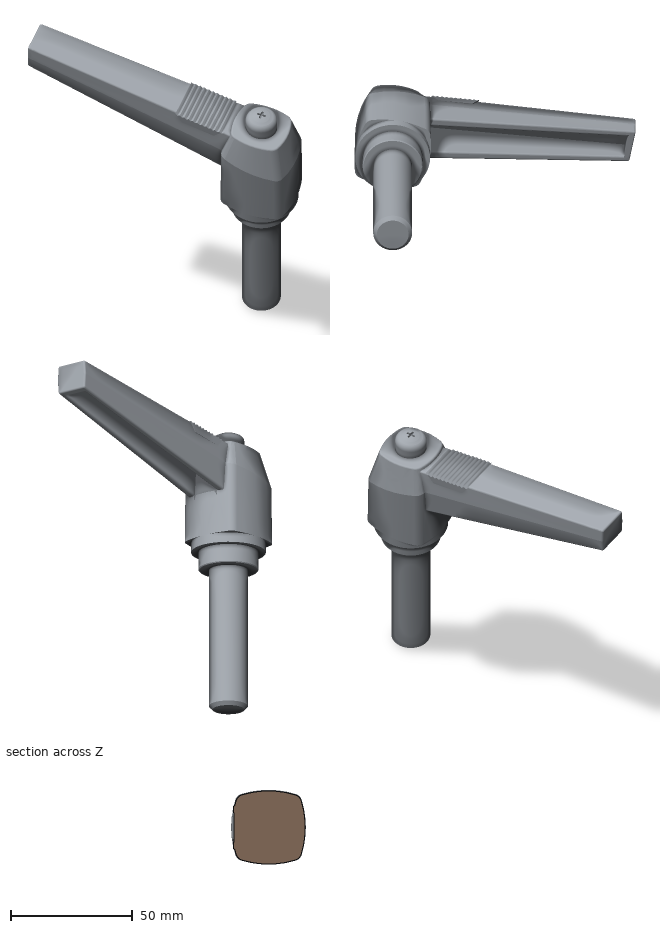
import cadquery as cq
import math


stud_diameter = 16.0
stud_chamfer = 1.5
collar_diameter = 24.7
collar_bottom = 59.8
collar_chamfer = 0.4

hub_bottom = 67.4
hub_rim_top = 71.4
hub_half_width = 15.35
hub_side_radius = 37.6
hub_corner_radius = 3.8
break_half_width = 15.0
break_height = 97.9
break_slope = -0.2
top_half_x = 11.5
top_half_y = 11.0
top_side_radius = 25.1
top_height = 110.9
top_slope = -0.07
top_fillet = 0.8

button_diameter = 13.0
button_side_top = 114.9
shoulder_diameter = 10.2
shoulder_height = 117.3
crown_diameter = 7.3
crown_base = 117.9
crown_top = 118.7
cross_length = 3.8
cross_width = 0.9
cross_depth = 1.3

tip_x = -100.32
root_x = -10.0
tip_top, root_top = 125.5, 110.2
tip_crease, root_crease = 119.7, 100.1
tip_bottom, root_bottom = 113.7, 88.4
tip_half, root_half = 7.0, 8.6
tip_crease_half, root_crease_half = 7.5, 10.0
root_bottom_half = 9.4
lever_fillet = 0.8

tip_wall = 2.5
roof_thickness = 2.1
channel_end_x = -14.3
channel_roof_half_tip, channel_roof_half_end = 4.4, 4.8
channel_mouth_half_tip, channel_mouth_half_end = 4.9, 6.3
channel_lip = 1.4
channel_lip_height = 2.1
channel_floor_tip, channel_floor_end = 111.5, 89.5

pad_half_width = 9.0
pad_start_x, pad_end_x = -34.3, -14.2
pad_base_start_x, pad_base_end_x = -31.6, -17.4
pad_height = 3.9
groove_count = 11
grooves_end_x = -13.2
groove_depth = 0.8


def lever_line(tip_value, root_value, x):
    """Value at x of a lever dimension that runs straight from tip to root."""
    return tip_value + (root_value - tip_value) * (x - tip_x) / (root_x - tip_x)


def lever_top(x):
    return lever_line(tip_top, root_top, x)


def hub_section(half_x, half_y, side_radius, height, slope):
    """Rounded-square wire with bulging sides, in a plane tilted along X."""
    side_offset = side_radius - half_x
    reach = side_radius - hub_corner_radius
    corner = (math.sqrt(2 * reach ** 2 - side_offset ** 2) - side_offset) / 2
    near = side_radius * corner / reach
    far = side_radius * (corner + side_offset) / reach - side_offset
    corner_mid = corner + hub_corner_radius * math.sqrt(0.5)
    quarter = [(half_x, 0), (far, near), (corner_mid, corner_mid), (near, far)]
    outline = []
    for turn in range(4):
        for x, y in quarter:
            for _ in range(turn):
                x, y = -y, x
            outline.append(cq.Vector(x, y * half_y / half_x, height + slope * x))
    edges = []
    for i in range(1, len(outline), 2):
        middle = outline[(i + 1) % len(outline)]
        end = outline[(i + 2) % len(outline)]
        edges.append(cq.Edge.makeThreePointArc(outline[i], middle, end))
    return cq.Wire.assembleEdges(edges)


def make_hub():
    base = hub_section(hub_half_width, hub_half_width, hub_side_radius, hub_rim_top, 0)
    shoulder = hub_section(
        break_half_width, break_half_width, hub_side_radius, break_height, break_slope
    )
    top = hub_section(top_half_x, top_half_y, top_side_radius, top_height, top_slope)
    hub = cq.Workplane(cq.Solid.makeLoft([base, shoulder, top], True))
    hub = hub.faces(">Z").edges().fillet(top_fillet)
    rim = cq.Workplane("XY").workplane(offset=hub_bottom).circle(hub_half_width)
    return hub.union(rim.extrude(hub_rim_top - hub_bottom))


def x_section(x, half_outline):
    """Closed YZ polygon at x, mirrored from its +Y points (top to bottom)."""
    mirrored = [(-y, z) for y, z in reversed(half_outline)]
    points = [cq.Vector(x, y, z) for y, z in half_outline + mirrored]
    return cq.Wire.makePolygon(points, close=True)


def make_channel():
    """Tapered cutter for the hollow underside, reaching slightly into the hub."""
    start_x = tip_x + tip_wall

    def section(x, roof_half, mouth_half, floor):
        return x_section(x, [
            (roof_half, lever_top(x) - roof_thickness),
            (mouth_half, floor - channel_lip_height),
            (mouth_half - channel_lip, floor),
        ])

    start = section(start_x, channel_roof_half_tip, channel_mouth_half_tip, channel_floor_tip)
    end = section(channel_end_x, channel_roof_half_end, channel_mouth_half_end, channel_floor_end)
    return cq.Workplane(cq.Solid.makeLoft([start, end], True))


def make_arm(channel):
    tip = x_section(tip_x, [
        (tip_half, tip_top), (tip_crease_half, tip_crease), (tip_half, tip_bottom)
    ])
    root = x_section(root_x, [
        (root_half, root_top), (root_crease_half, root_crease), (root_bottom_half, root_bottom)
    ])
    arm = cq.Workplane(cq.Solid.makeLoft([tip, root], True))
    arm = arm.edges("not(>X)").edges("not(>Y or <Y)").fillet(lever_fillet)
    arm = arm.cut(channel)
    mouth = cq.selectors.BoxSelector(
        (tip_x, -channel_mouth_half_end, root_bottom),
        (channel_end_x - lever_fillet, channel_mouth_half_end, (tip_bottom + root_crease) / 2),
    )
    return arm.edges(mouth).fillet(lever_fillet)


def make_thumb_pad():
    outline = [
        (pad_start_x, lever_top(pad_start_x)),
        (pad_base_start_x, lever_top(pad_base_start_x) - pad_height),
        (pad_base_end_x, lever_top(pad_base_end_x) - pad_height),
        (pad_end_x, lever_top(pad_end_x)),
    ]
    return cq.Workplane("XZ").polyline(outline).close().extrude(pad_half_width, both=True)


def make_grooves():
    """V-grooves side by side, with their ridges level with the lever top."""
    groove_pitch = (grooves_end_x - pad_start_x) / groove_count
    outline = []
    for i in range(groove_count):
        ridge_x = pad_start_x + i * groove_pitch
        valley_x = ridge_x + groove_pitch / 2
        outline.append((ridge_x, lever_top(ridge_x)))
        outline.append((valley_x, lever_top(valley_x) - groove_depth))
    outline.append((grooves_end_x, lever_top(grooves_end_x)))
    outline.append((grooves_end_x, tip_top))
    outline.append((pad_start_x, tip_top))
    return cq.Workplane("XZ").polyline(outline).close().extrude(root_crease_half, both=True)


def make_stud():
    stud = cq.Workplane("XY").circle(stud_diameter / 2).extrude(hub_bottom)
    stud = stud.faces("<Z").chamfer(stud_chamfer)
    collar = cq.Workplane("XY").workplane(offset=collar_bottom).circle(collar_diameter / 2)
    collar = collar.extrude(hub_bottom - collar_bottom).faces("<Z").chamfer(collar_chamfer)
    return stud.union(collar)


def make_button():
    crown_radius = crown_diameter / 2
    dome_radius = (crown_radius ** 2 + (crown_top - crown_base) ** 2) / (2 * (crown_top - crown_base))
    dome_mid_x = crown_radius / 2
    dome_mid_z = crown_top - dome_radius + math.sqrt(dome_radius ** 2 - dome_mid_x ** 2)
    button = (
        cq.Workplane("XZ")
        .moveTo(0, break_height)
        .lineTo(button_diameter / 2, break_height)
        .lineTo(button_diameter / 2, button_side_top)
        .tangentArcPoint((shoulder_diameter / 2, shoulder_height), relative=False)
        .lineTo(crown_radius, crown_base)
        .threePointArc((dome_mid_x, dome_mid_z), (0, crown_top))
        .close()
        .revolve(360, (0, 0, 0), (0, 1, 0))
    )
    for length_x, length_y in ((cross_length, cross_width), (cross_width, cross_length)):
        slot = cq.Workplane("XY").workplane(offset=crown_top).rect(length_x, length_y)
        button = button.cut(slot.extrude(-cross_depth))
    return button


channel = make_channel()
lever = make_arm(channel).union(make_thumb_pad().cut(channel)).cut(make_grooves())
result = make_hub().cut(channel).union(lever).union(make_stud()).union(make_button())